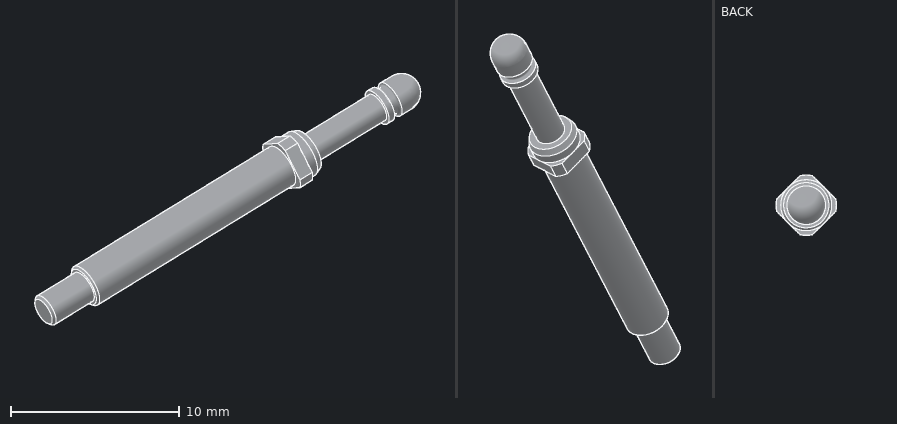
import cadquery as cq

total_length = 28.3
head_end = 2.0
ring_start = 2.58
ring_end = 3.0
collar_start = 8.3
square_start = 9.3
square_end = 10.25
barrel_end = 25.25

head_diameter = 2.3
plunger_diameter = 1.8
collar_diameter = 3.03
collar_nose_diameter = 2.7
barrel_diameter = 2.7
tail_diameter = 2.0

flange_across_corners = 3.6
flange_across_flats = 3.0

collar_taper_length = 0.42
barrel_chamfer = 0.15
tail_chamfer = 0.17
groove_fillet = 0.15

tip_y = total_length / 2


def cylinder(diameter, start, end):
    """Cylinder on the pin axis between two distances from the tip."""
    plane = cq.Plane(origin=(0, tip_y - start, 0), xDir=(1, 0, 0), normal=(0, -1, 0))
    return cq.Workplane(plane).circle(diameter / 2).extrude(end - start)


def make_plunger():
    """Domed head, retaining ring and shaft, with a filleted groove between head and ring."""
    radius = head_diameter / 2
    nose = cq.Workplane("XY").sphere(radius).translate((0, tip_y - radius, 0))
    head = cylinder(head_diameter, radius, head_end)
    neck = cylinder(plunger_diameter, head_end, ring_start)
    ring = cylinder(head_diameter, ring_start, ring_end)
    shaft = cylinder(plunger_diameter, ring_end, collar_start)
    margin = groove_fillet / 2
    corner_zone = cq.selectors.BoxSelector(
        (-plunger_diameter, tip_y - ring_start - margin, -plunger_diameter),
        (plunger_diameter, tip_y - head_end + margin, plunger_diameter),
    )
    neck_circles = cq.selectors.RadiusNthSelector(0)
    grooved = head.union(neck).union(ring)
    grooved = grooved.edges(corner_zone).edges(neck_circles).fillet(groove_fillet)
    return grooved.union(nose).union(shaft)


def make_collar():
    """Round collar with a shallow taper at its front."""
    collar = cylinder(collar_diameter, collar_start, square_start)
    taper_depth = (collar_diameter - collar_nose_diameter) / 2
    front_face = collar.faces(">Y")
    return front_face.edges().chamfer(collar_taper_length, taper_depth)


def make_square_flange():
    """Square flange standing on its corner, corners trimmed round."""
    thickness = square_end - square_start
    square = (
        cq.Workplane("XY")
        .box(flange_across_flats, thickness, flange_across_flats)
        .rotate((0, 0, 0), (0, 1, 0), 45)
        .translate((0, tip_y - (square_start + square_end) / 2, 0))
    )
    return square.intersect(cylinder(flange_across_corners, square_start, square_end))


def make_barrel():
    """Barrel and reduced tail, each chamfered at its far end."""
    barrel = cylinder(barrel_diameter, square_end, barrel_end)
    barrel = barrel.faces("<Y").chamfer(barrel_chamfer)
    tail = cylinder(tail_diameter, barrel_end, total_length)
    tail = tail.faces("<Y").chamfer(tail_chamfer)
    return barrel.union(tail)


result = (
    make_plunger()
    .union(make_collar())
    .union(make_square_flange())
    .union(make_barrel())
)